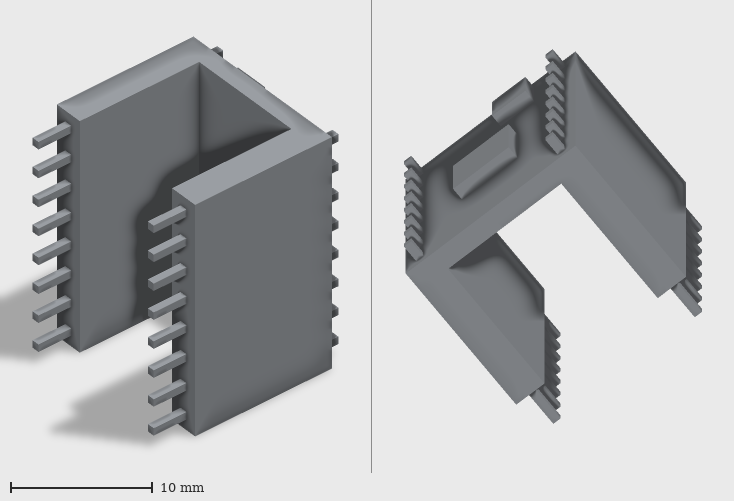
import cadquery as cq

board_width = 15.3
board_height = 20.4
board_thickness = 1.6

pins_per_row = 8
pin_pitch = board_height / pins_per_row
pin_size = 0.65
pin_front_length = 3.0
total_depth = 16.9

header_width = pin_pitch
header_depth = 10.91
header_x = (board_width - header_width) / 2

component_thickness = 1.0
chip_size = 5.0
chip_x = 0.08
chip_z = -0.84
trimmer_size = 3.0
trimmer_x = -2.43
trimmer_z = 3 * pin_pitch

header_front = -header_depth
pin_front = header_front - pin_front_length


def block(x, z, width, height, y_start, depth):
    """Box centred on (x, z) in the XZ plane, running from y_start towards +Y."""
    return (
        cq.Workplane("XY")
        .box(width, depth, height, centered=(True, False, True))
        .translate((x, y_start, z))
    )


result = block(0, 0, board_width, board_height, 0, board_thickness)

lowest_pin_z = -(pins_per_row - 1) / 2 * pin_pitch
for side in (-1, 1):
    x = side * header_x
    header = block(x, 0, header_width, board_height, header_front, header_depth)
    result = result.union(header, clean=False)
    for index in range(pins_per_row):
        z = lowest_pin_z + index * pin_pitch
        pin = block(x, z, pin_size, pin_size, pin_front, total_depth)
        result = result.union(pin, clean=False)

chip = block(chip_x, chip_z, chip_size, chip_size, board_thickness, component_thickness)
trimmer = block(trimmer_x, trimmer_z, trimmer_size, trimmer_size, board_thickness, component_thickness)
result = result.union(chip, clean=False).union(trimmer, clean=False)